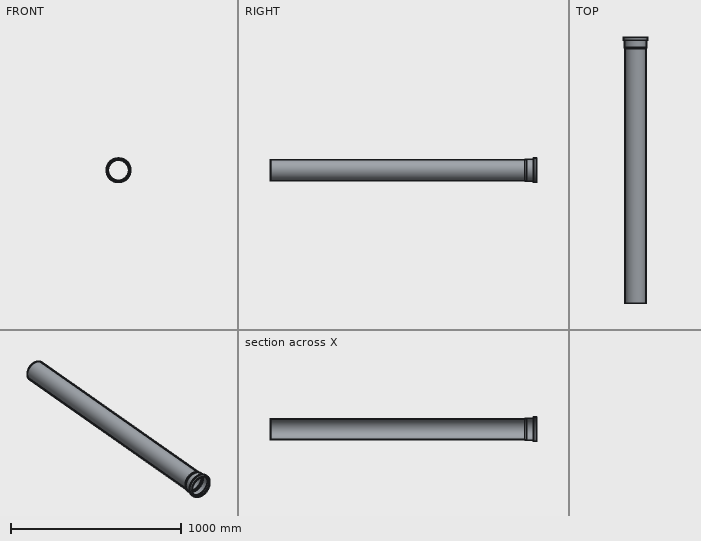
import cadquery as cq

length = 1563.0
y_spigot = -length / 2
y_socket = length / 2

pipe_outer = 125.0 / 2
pipe_inner = 119.0 / 2
socket_outer = 131.0 / 2
socket_inner = 127.0 / 2
bead_outer = 144.0 / 2
bead_inner = 139.0 / 2

bead_length = 20.0
bead_rounding = 5.0
bead_wall = bead_outer - bead_inner
groove_rounding = bead_rounding - bead_wall
socket_depth = 60.0
taper_length = 10.0
spigot_chamfer_length = 5.0
spigot_chamfer_depth = 0.8

y_bead = y_socket - bead_length
y_taper_top = y_socket - socket_depth
y_taper_bottom = y_taper_top - taper_length


def revolve_about_axis(profile):
    """Turn a closed radius-versus-Y profile into a solid about the Y axis."""
    return profile.close().revolve(360, (0, 0, 0), (0, 1, 0))


def cylinder(radius, y_start, y_end):
    """Solid cylinder on the pipe axis."""
    return revolve_about_axis(
        cq.Workplane("XY")
        .moveTo(0, y_start)
        .lineTo(radius, y_start)
        .lineTo(radius, y_end)
        .lineTo(0, y_end)
    )


def stepped_core(pipe_radius, socket_radius):
    """Pipe that widens through a short cone into the socket."""
    return revolve_about_axis(
        cq.Workplane("XY")
        .moveTo(0, y_spigot)
        .lineTo(pipe_radius, y_spigot)
        .lineTo(pipe_radius, y_taper_bottom)
        .lineTo(socket_radius, y_taper_top)
        .lineTo(socket_radius, y_socket)
        .lineTo(0, y_socket)
    )


pipe = stepped_core(pipe_outer, socket_outer)
spigot_chamfer = revolve_about_axis(
    cq.Workplane("XY")
    .moveTo(pipe_outer, y_spigot)
    .lineTo(pipe_outer - spigot_chamfer_depth, y_spigot)
    .lineTo(pipe_outer, y_spigot + spigot_chamfer_length)
)
bead = cylinder(bead_outer, y_bead, y_socket).edges().fillet(bead_rounding)

bore = stepped_core(pipe_inner, socket_inner)
groove = cylinder(bead_inner, y_bead + bead_wall, y_socket - bead_wall).edges().fillet(groove_rounding)

result = pipe.cut(spigot_chamfer).union(bead).cut(bore).cut(groove)